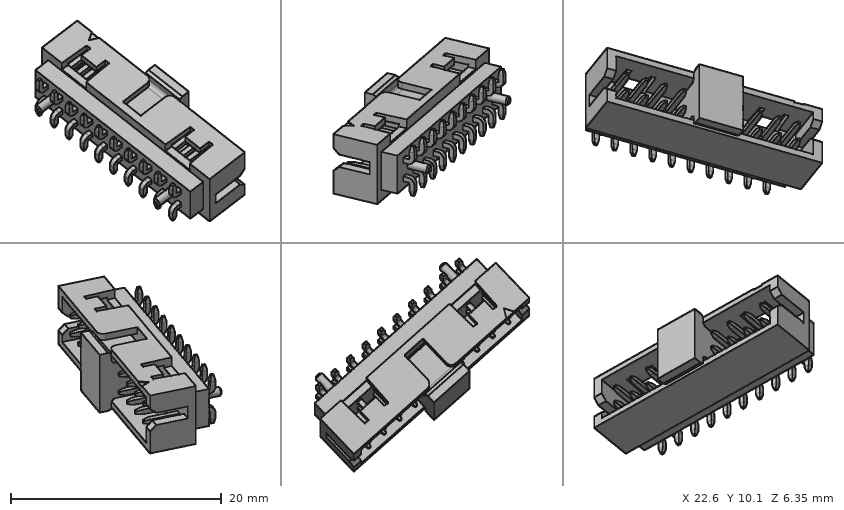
import cadquery as cq
import math


body_length = 22.65
body_height = 6.35
body_depth = 4.7
base_length = 20.93
base_height = 4.05
base_depth = 1.72
base_face = -(body_depth + base_depth)

wall = 0.7
end_wall = 0.95
cavity_depth = 3.9
cavity_floor = -cavity_depth

slot_top = 1.13
slot_bottom = -0.18
slot_lead_depth = 0.63
slot_lead_height = 0.57

key_width = 2.4
key_mouth_radius = 0.68

columns = 10
pin_span = 18.0
pitch = pin_span / (columns - 1)
pin_size = 0.52
pin_tip_size = 0.27
pin_outer_z = 1.25
pin_center_z = pin_outer_z - pin_size / 2
mating_tip_gap = 0.27
mating_taper = 0.63
tail_reach = 1.15
tail_tip_z = 2.63
tail_taper = 0.55
bend_inner_radius = 0.15
bend_outer_radius = bend_inner_radius + pin_size

peg_diameter = 0.88
peg_length = 2.2
peg_chamfer = 0.15
peg_x = 4 * pitch

window_x = 3.5 * pitch
window_end = 1.52
window_inner_width = 3.04
window_front_width = 3.28
window_depth = 0.95
tab_end = 2.72
tab_width = 2.04

mark_x = -8.85
mark_width = 1.0
mark_length = 0.9
mark_depth = 0.11

cap_width = 4.6
cap_reach = 1.43
cap_inner_face = 0.2
cap_bevel_start = 0.57
cap_bevel_height = 0.15
stem_half_height = 1.93
stem_fillet = 0.48
stem_end = -3.62
rib_width = 1.2
rib_gap = 0.36


def block(x_range, y_range, z_range):
    """Axis-aligned box spanning the given ranges."""
    (x0, x1), (y0, y1), (z0, z1) = x_range, y_range, z_range
    return cq.Workplane("XY").box(x1 - x0, y1 - y0, z1 - z0, centered=False).translate((x0, y0, z0))


def centered_range(center, width):
    return (center - width / 2, center + width / 2)


def across_x(outline, width):
    """Extrude a closed YZ outline symmetrically about X = 0."""
    return outline.close().extrude(width / 2, both=True)


def make_shell():
    body_z = centered_range(0, body_height)
    body = block(centered_range(0, body_length), (-body_depth, 0), body_z)
    base = block(centered_range(0, base_length), (base_face, -body_depth), centered_range(0, base_height))
    cavity = block(
        centered_range(0, body_length - 2 * end_wall),
        (cavity_floor, 0),
        centered_range(0, body_height - 2 * wall),
    )
    return body.union(base).cut(cavity)


def make_end_slots():
    """Slots through the end walls, widening towards the mating face.

    The slot at the +X end is the -X slot turned upside down.
    """
    slot = (
        cq.Workplane("YZ", origin=(-body_length / 2, 0, 0))
        .polyline([
            (0, slot_top + slot_lead_height),
            (-slot_lead_depth, slot_top),
            (cavity_floor, slot_top),
            (cavity_floor, slot_bottom),
            (-slot_lead_depth, slot_bottom),
            (0, slot_bottom - slot_lead_height),
        ])
        .close()
        .extrude(end_wall)
    )
    return slot.union(slot.rotate((0, 0, 0), (0, 1, 0), 180))


def make_key_slot():
    """Slot in the top wall with a rounded, flared mouth."""
    half = key_width / 2
    mouth = half + key_mouth_radius
    return (
        cq.Workplane("XY", origin=(0, 0, body_height / 2 - wall))
        .moveTo(-half, cavity_floor)
        .lineTo(half, cavity_floor)
        .lineTo(half, -key_mouth_radius)
        .radiusArc((mouth, 0), key_mouth_radius)
        .lineTo(-mouth, 0)
        .radiusArc((-half, -key_mouth_radius), key_mouth_radius)
        .close()
        .extrude(wall)
    )


def make_window(center_x):
    """U-shaped latch window around a tab, widening slightly out to the front face."""
    window = (
        cq.Workplane("XY", origin=(center_x, 0, body_height / 2 - window_depth))
        .polyline([
            (-window_inner_width / 2, -window_end),
            (window_inner_width / 2, -window_end),
            (window_front_width / 2, -body_depth),
            (-window_front_width / 2, -body_depth),
        ])
        .close()
        .extrude(window_depth)
    )
    tab_z = (body_height / 2 - wall, body_height / 2)
    tab = block(centered_range(center_x, tab_width), (-tab_end, -window_end), tab_z)
    return window.cut(tab)


def make_mark():
    """Shallow triangle marking pin 1."""
    half = mark_width / 2
    return (
        cq.Workplane("XY", origin=(mark_x, 0, body_height / 2 - mark_depth))
        .polyline([(-half, 0), (half, 0), (0, -mark_length)])
        .close()
        .extrude(mark_depth)
    )


def make_pin():
    """Upper-row pin at X = 0: mating blade, right-angle bend and upturned tail."""
    inner_z = pin_outer_z - pin_size
    tail_front = base_face - tail_reach
    tail_back = tail_front + pin_size
    blade_end = -(mating_tip_gap + mating_taper)
    tail_end = tail_tip_z - tail_taper
    shaft = across_x(
        cq.Workplane("YZ")
        .moveTo(blade_end, inner_z)
        .lineTo(tail_front + bend_outer_radius, inner_z)
        .radiusArc((tail_front, inner_z + bend_outer_radius), bend_outer_radius)
        .lineTo(tail_front, tail_end)
        .lineTo(tail_back, tail_end)
        .lineTo(tail_back, pin_outer_z + bend_inner_radius)
        .radiusArc((tail_back + bend_inner_radius, pin_outer_z), -bend_inner_radius)
        .lineTo(blade_end, pin_outer_z),
        pin_size,
    )
    tail_plane = cq.Workplane("XY", origin=(0, tail_front + pin_size / 2, tail_end))
    blade_plane = cq.Workplane("XZ", origin=(0, blade_end, pin_center_z))
    return shaft.union(make_tip(tail_plane, tail_taper)).union(make_tip(blade_plane, -mating_taper))


def make_tip(plane, length):
    """Four-sided taper from the pin section to its blunt tip."""
    return (
        plane.rect(pin_size, pin_size)
        .workplane(offset=length)
        .rect(pin_tip_size, pin_tip_size)
        .loft(ruled=True)
    )


def make_peg(center_x):
    return (
        cq.Workplane("XZ", origin=(center_x, base_face, 0))
        .circle(peg_diameter / 2)
        .extrude(peg_length)
        .faces("<Y")
        .chamfer(peg_chamfer)
    )


def make_cap():
    """Flat pick-up bar on a stem that fills the cavity between the pin columns."""
    top = body_height / 2
    fillet_mid = stem_fillet * (1 - math.sqrt(0.5))
    fillet_end = cap_inner_face - stem_fillet
    upper_half = across_x(
        cq.Workplane("YZ")
        .moveTo(cap_reach, 0)
        .lineTo(cap_reach, top)
        .lineTo(cap_bevel_start, top)
        .lineTo(cap_inner_face, top - cap_bevel_height)
        .lineTo(cap_inner_face, stem_half_height + stem_fillet)
        .threePointArc(
            (cap_inner_face - fillet_mid, stem_half_height + fillet_mid),
            (fillet_end, stem_half_height),
        )
        .lineTo(stem_end, stem_half_height)
        .lineTo(stem_end, 0),
        cap_width,
    )
    rib = block(centered_range(0, rib_width), (cavity_floor, stem_end), (rib_gap / 2, pin_outer_z))
    half_cap = upper_half.union(rib)
    return half_cap.union(half_cap.mirror("XY"))


shell = make_shell().cut(make_end_slots()).cut(make_key_slot()).cut(make_mark())
for side in (-1, 1):
    shell = shell.cut(make_window(side * window_x))

result = shell.union(make_cap())
for side in (-1, 1):
    result = result.union(make_peg(side * peg_x))

upper_pin = make_pin()
lower_pin = upper_pin.mirror("XY")
for column in range(columns):
    offset = (column * pitch - pin_span / 2, 0, 0)
    result = result.union(upper_pin.translate(offset)).union(lower_pin.translate(offset))